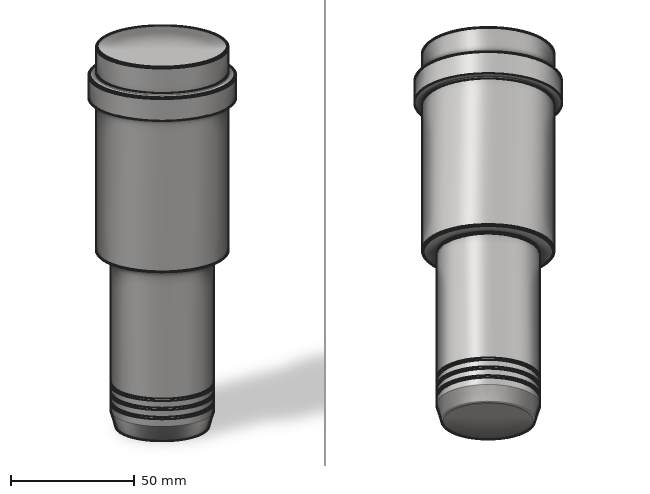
import cadquery as cq

total_height = 163.0
flange_radius = 30.0
body_radius = 26.9
shank_radius = 21.0

flange_top = total_height - 12.0
flange_bottom = flange_top - 10.0
body_bottom = total_height - 88.0

edge_chamfer = 0.57
foot_fillet = 0.8

taper_height = 7.2
foot_radius = 18.9

relief_width = 1.0
relief_depth = 0.5

round_groove_radius = 0.5
ring_count = 3
ring_pitch = 3.9
first_ring_height = 10.8


def cylinder(radius, bottom, top):
    return cq.Workplane("XY").workplane(offset=bottom).circle(radius).extrude(top - bottom)


def cut_groove(part, surface_radius, bottom, width, depth):
    """Cut a square groove around the cylinder of the given radius."""
    ring = cylinder(surface_radius, bottom, bottom + width)
    core = cylinder(surface_radius - depth, bottom, bottom + width)
    return part.cut(ring.cut(core))


def cut_round_groove(part, surface_radius, height):
    """Cut a half-round groove around the cylinder, centred at the given height."""
    ring = cq.Solid.makeTorus(surface_radius, round_groove_radius, cq.Vector(0, 0, height))
    return part.cut(cq.Workplane(obj=ring))


head_and_body = cylinder(body_radius, body_bottom, total_height).edges().chamfer(edge_chamfer)
flange = cylinder(flange_radius, flange_bottom, flange_top).edges(">Z").chamfer(edge_chamfer)
shank = cylinder(shank_radius, taper_height, body_bottom)

foot = (
    cq.Workplane("XY")
    .circle(foot_radius)
    .workplane(offset=taper_height)
    .circle(shank_radius)
    .loft(ruled=True)
    .faces("<Z")
    .edges()
    .fillet(foot_fillet)
)

result = head_and_body.union(flange).union(shank).union(foot)

result = cut_groove(result, shank_radius, body_bottom - relief_width, relief_width, relief_depth)
result = cut_round_groove(result, body_radius, flange_top + round_groove_radius)
result = cut_round_groove(result, body_radius, flange_bottom - round_groove_radius)

for index in range(ring_count):
    result = cut_round_groove(result, shank_radius, first_ring_height + index * ring_pitch)